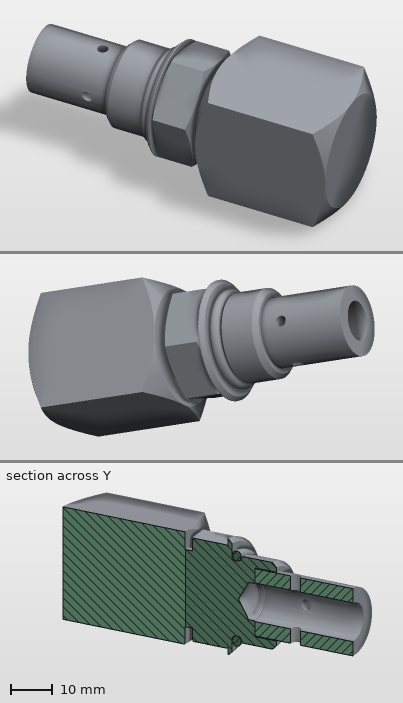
import cadquery as cq
import math

sleeve_diameter = 17.15
sleeve_length = 27.9
sleeve_bore_diameter = 9.7
radial_hole_diameter = 2.7
radial_hole_x = 16.25

fitting_bore_diameter = 9.35
socket_diameter = 17.3
collar_x = 21.6
collar_diameter = 22.1
collar_front_diameter = 19.7
collar_front_chamfer_length = 1.2
collar_end_x = 31.9
seal_neck_diameter = 20.3
flange_x = 34.2
flange_diameter = 29.4
flange_face_diameter = 27.4
flange_chamfer_length = 1.0
hex_x = 35.45
hex_end_x = 45.45
hex_across_flats = 25.35
hex_chamfer_angle = 20.0
hex_turn_angle = -15.0
stub_diameter = 19.7
bore_end_x = 29.5
drill_tip_angle = 118.0

ring_section_diameter = 2.55
ring_outer_diameter = 24.2
ring_x = 32.9

total_length = 82.0
block_x = 47.5
block_side = 28.55
block_chamfer_angle = 30.0

fitting_bore_radius = fitting_bore_diameter / 2
collar_radius = collar_diameter / 2
seal_neck_radius = seal_neck_diameter / 2
collar_rear_chamfer = collar_radius - seal_neck_radius
flange_radius = flange_diameter / 2
stub_radius = stub_diameter / 2
hex_corner_diameter = hex_across_flats / math.cos(math.radians(30))
drill_tip_length = fitting_bore_radius / math.tan(math.radians(drill_tip_angle / 2))
ring_section_radius = ring_section_diameter / 2
ring_center_radius = ring_outer_diameter / 2 - ring_section_radius
block_corner_radius = block_side / math.sqrt(2)


def revolve_about_x(profile):
    """Revolve a closed outline of (x, radius) points about the X axis."""
    return cq.Workplane("XY").polyline(profile).close().revolve(360, (0, 0, 0), (1, 0, 0))


def cylinder_along_x(diameter, start_x, end_x):
    return cq.Workplane("YZ").workplane(offset=start_x).circle(diameter / 2).extrude(end_x - start_x)


def chamfered_envelope(start_x, end_x, face_radius, corner_radius, angle):
    """Round bar with conical ends, used to trim the corners of a prism."""
    chamfer_length = (corner_radius - face_radius) * math.tan(math.radians(angle))
    return revolve_about_x([
        (start_x, 0),
        (start_x, face_radius),
        (start_x + chamfer_length, corner_radius),
        (end_x - chamfer_length, corner_radius),
        (end_x, face_radius),
        (end_x, 0),
    ])


def make_ring_shape():
    """Build the torus of the seal ring, which is also the shape of its seat in the fitting."""
    section = cq.Workplane("XY").center(ring_x, ring_center_radius).circle(ring_section_radius)
    return section.revolve(360, (0, -ring_center_radius, 0), (1, -ring_center_radius, 0))


def make_sleeve():
    sleeve = cylinder_along_x(sleeve_diameter, 0, sleeve_length)
    sleeve = sleeve.cut(cylinder_along_x(sleeve_bore_diameter, 0, sleeve_length))
    for plane in ("XY", "XZ"):
        cross_hole = (
            cq.Workplane(plane)
            .center(radial_hole_x, 0)
            .circle(radial_hole_diameter / 2)
            .extrude(sleeve_diameter, both=True)
        )
        sleeve = sleeve.cut(cross_hole)
    return sleeve


def make_hexagon():
    hexagon = (
        cq.Workplane("YZ")
        .workplane(offset=hex_x)
        .polygon(6, hex_corner_diameter)
        .extrude(hex_end_x - hex_x)
        .rotate((0, 0, 0), (1, 0, 0), hex_turn_angle)
    )
    envelope = chamfered_envelope(
        hex_x, hex_end_x, hex_across_flats / 2, hex_corner_diameter / 2, hex_chamfer_angle
    )
    return hexagon.intersect(envelope)


def make_fitting():
    turned = revolve_about_x([
        (collar_x, 0),
        (collar_x, collar_front_diameter / 2),
        (collar_x + collar_front_chamfer_length, collar_radius),
        (collar_end_x - collar_rear_chamfer, collar_radius),
        (collar_end_x, seal_neck_radius),
        (flange_x, seal_neck_radius),
        (flange_x, flange_face_diameter / 2),
        (flange_x + flange_chamfer_length, flange_radius),
        (hex_x, flange_radius),
        (hex_x, stub_radius),
        (block_x, stub_radius),
        (block_x, 0),
    ])
    bore = revolve_about_x([
        (collar_x, 0),
        (collar_x, socket_diameter / 2),
        (sleeve_length, socket_diameter / 2),
        (sleeve_length, fitting_bore_radius),
        (bore_end_x, fitting_bore_radius),
        (bore_end_x + drill_tip_length, 0),
    ])
    return turned.union(make_hexagon()).cut(bore).cut(make_ring_shape())


def make_block():
    block = (
        cq.Workplane("YZ")
        .workplane(offset=block_x)
        .rect(block_side, block_side)
        .extrude(total_length - block_x)
    )
    envelope = chamfered_envelope(
        block_x, total_length, block_side / 2, block_corner_radius, block_chamfer_angle
    )
    return block.intersect(envelope)


sleeve = make_sleeve()
fitting = make_fitting()
seal_ring = make_ring_shape()
block = make_block()

result = cq.Compound.makeCompound([sleeve.val(), fitting.val(), seal_ring.val(), block.val()])